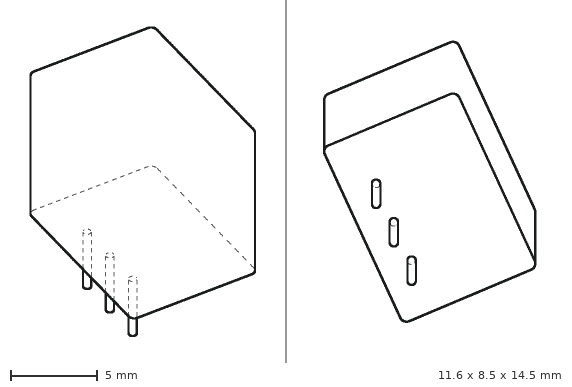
import cadquery as cq

length = 11.6
width = 8.5
total_height = 14.5

housing_height = 10.4
side_edge_radius = 0.4
top_edge_radius = 0.2

pin_diameter = 0.5
pin_pitch = 2.54
pin_count = 3
pin_row_center_x = 0.05
pin_row_y = -2.25
pin_tip_radius = 0.1
pin_length = total_height - housing_height


def make_housing():
    """Closed box standing on Z = 0, rounded on its sides and top."""
    box = cq.Workplane("XY").box(length, width, housing_height, centered=(True, True, False))
    box = box.edges("|Z").fillet(side_edge_radius)
    return box.faces(">Z").edges().fillet(top_edge_radius)


def make_pin(x):
    """Round pin hanging below the housing, with a rounded tip."""
    pin = cq.Workplane("XY").center(x, pin_row_y).circle(pin_diameter / 2).extrude(-pin_length)
    return pin.faces("<Z").edges().fillet(pin_tip_radius)


result = make_housing()
for index in range(pin_count):
    offset = (index - (pin_count - 1) / 2) * pin_pitch
    result = result.union(make_pin(pin_row_center_x + offset))